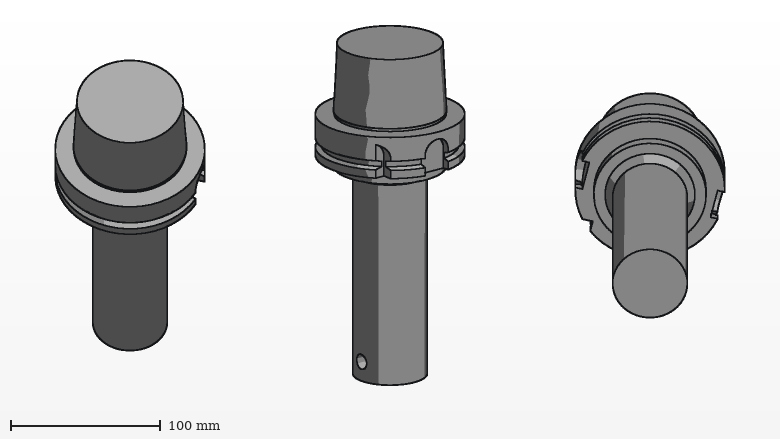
import cadquery as cq


taper_length = 50.0
taper_base_diameter = 75.8
taper_ratio = 0.1
neck_diameter = 75.0
neck_height = 2.0
taper_tip_diameter = taper_base_diameter - taper_ratio * (taper_length - neck_height)

flange_diameter = 100.0
flange_thickness = 29.0
groove_center_depth = 20.0
groove_floor_diameter = 92.0
groove_floor_width = 3.75
groove_mouth_width = 6.5

overall_length = 233.0
collar_diameter = 75.0
collar_height = 8.0
shank_diameter = 50.0
cone_top_diameter = 60.0
cone_height = (cone_top_diameter - shank_diameter) / 2

slot_width = 20.0
slot_top_depth = 5.0
drive_slot_floor = 44.0
side_slot_floor = 31.7
side_slot_offset = 41.4

screw_hole_diameter = 10.3
screw_hole_height = 13.5
screw_hole_depth = 11.0

flange_bottom = -flange_thickness
collar_bottom = flange_bottom - collar_height
cone_bottom = collar_bottom - cone_height
shank_bottom = taper_length - overall_length


def make_body():
    """Revolve the half profile of the holder about Z."""
    flange_radius = flange_diameter / 2
    groove_radius = groove_floor_diameter / 2
    profile = [
        (0, taper_length),
        (taper_tip_diameter / 2, taper_length),
        (taper_base_diameter / 2, neck_height),
        (neck_diameter / 2, neck_height),
        (neck_diameter / 2, 0),
        (flange_radius, 0),
        (flange_radius, -groove_center_depth + groove_mouth_width / 2),
        (groove_radius, -groove_center_depth + groove_floor_width / 2),
        (groove_radius, -groove_center_depth - groove_floor_width / 2),
        (flange_radius, -groove_center_depth - groove_mouth_width / 2),
        (flange_radius, flange_bottom),
        (collar_diameter / 2, flange_bottom),
        (collar_diameter / 2, collar_bottom),
        (cone_top_diameter / 2, collar_bottom),
        (shank_diameter / 2, cone_bottom),
        (shank_diameter / 2, shank_bottom),
        (0, shank_bottom),
    ]
    return cq.Workplane("XZ").polyline(profile).close().revolve(360, (0, 0), (0, 1))


def make_slot(floor_distance, center_y):
    """Cutter on the -X side: open at the flange bottom, with a half-round top."""
    half_width = slot_width / 2
    arch_base = -slot_top_depth - half_width
    return (
        cq.Workplane("YZ")
        .workplane(offset=-flange_diameter / 2)
        .moveTo(center_y - half_width, flange_bottom)
        .lineTo(center_y - half_width, arch_base)
        .threePointArc((center_y, -slot_top_depth), (center_y + half_width, arch_base))
        .lineTo(center_y + half_width, flange_bottom)
        .close()
        .extrude(flange_diameter / 2 - floor_distance)
    )


def make_screw_hole():
    """Blind radial hole entering the shank from the +Y side."""
    return (
        cq.Workplane("XZ")
        .workplane(offset=-shank_diameter / 2)
        .center(0, shank_bottom + screw_hole_height)
        .circle(screw_hole_diameter / 2)
        .extrude(screw_hole_depth)
    )


drive_slot = make_slot(drive_slot_floor, 0)
opposite_drive_slot = drive_slot.rotate((0, 0, 0), (0, 0, 1), 180)
side_slot = make_slot(side_slot_floor, side_slot_offset)

result = (
    make_body()
    .cut(drive_slot)
    .cut(opposite_drive_slot)
    .cut(side_slot)
    .cut(make_screw_hole())
)